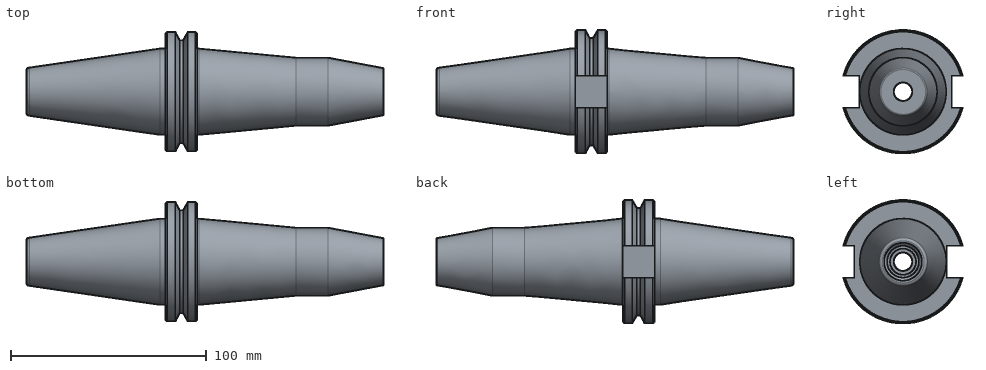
import cadquery as cq

total_length = 182.6
gauge_plane = 68.3
flange_back = 71.0
flange_front = 87.3
collar_end = 88.0
barrel_start = 137.7
barrel_end = 154.1

gauge_radius = 22.1
taper_slope = 7 / 48
taper_end_radius = gauge_radius - gauge_plane * taper_slope
end_round = 1.6
nose_round = 0.7

barrel_radius = 34.9 / 2
nose_radius = 12.0

flange_radius = 31.6
flange_chamfer = 1.0
groove_radius = 27.5
groove_start = 76.2
groove_floor_start = 78.3
groove_floor_end = 80.2
groove_end = 82.5
slot_width = 16.3
slot_floor_front = 22.5
slot_floor_back = 25.0

mouth_diameter = 19.4
entry_diameter = 16.3
mouth_depth = 1.6
entry_depth = 8.0
thread_diameter = 13.3
thread_depth = 29.2
through_diameter = 9.3


def revolve_about_x(profile):
    return profile.close().revolve(360, (0, 0, 0), (1, 0, 0))


def make_body():
    profile = (
        cq.Workplane("XY")
        .moveTo(0, 0)
        .lineTo(0, taper_end_radius)
        .lineTo(gauge_plane, gauge_radius)
        .lineTo(collar_end, gauge_radius)
        .lineTo(barrel_start, barrel_radius)
        .lineTo(barrel_end, barrel_radius)
        .lineTo(total_length, nose_radius)
        .lineTo(total_length, 0)
    )
    body = revolve_about_x(profile)
    return body.faces("<X").edges().fillet(end_round).faces(">X").edges().fillet(nose_round)


def make_flange():
    chamfer_base = flange_radius - flange_chamfer
    profile = (
        cq.Workplane("XY")
        .moveTo(flange_back, 0)
        .lineTo(flange_back, chamfer_base)
        .lineTo(flange_back + flange_chamfer, flange_radius)
        .lineTo(groove_start, flange_radius)
        .lineTo(groove_floor_start, groove_radius)
        .lineTo(groove_floor_end, groove_radius)
        .lineTo(groove_end, flange_radius)
        .lineTo(flange_front - flange_chamfer, flange_radius)
        .lineTo(flange_front, chamfer_base)
        .lineTo(flange_front, 0)
    )
    return revolve_about_x(profile)


def make_drive_slot(side, floor_distance):
    """Slot across the flange; side is -1 for -Y and +1 for +Y."""
    depth = flange_radius - floor_distance
    middle_x = (flange_back + flange_front) / 2
    middle_y = side * (floor_distance + depth / 2)
    slot = cq.Workplane("XY").box(flange_front - flange_back, depth, slot_width)
    return slot.translate((middle_x, middle_y, 0))


def make_bore():
    profile = (
        cq.Workplane("XY")
        .moveTo(0, 0)
        .lineTo(0, mouth_diameter / 2)
        .lineTo(mouth_depth, entry_diameter / 2)
        .lineTo(entry_depth, entry_diameter / 2)
        .lineTo(entry_depth, thread_diameter / 2)
        .lineTo(thread_depth, thread_diameter / 2)
        .lineTo(thread_depth, through_diameter / 2)
        .lineTo(total_length, through_diameter / 2)
        .lineTo(total_length, 0)
    )
    return revolve_about_x(profile)


result = (
    make_body()
    .union(make_flange())
    .cut(make_drive_slot(-1, slot_floor_front))
    .cut(make_drive_slot(1, slot_floor_back))
    .cut(make_bore())
)